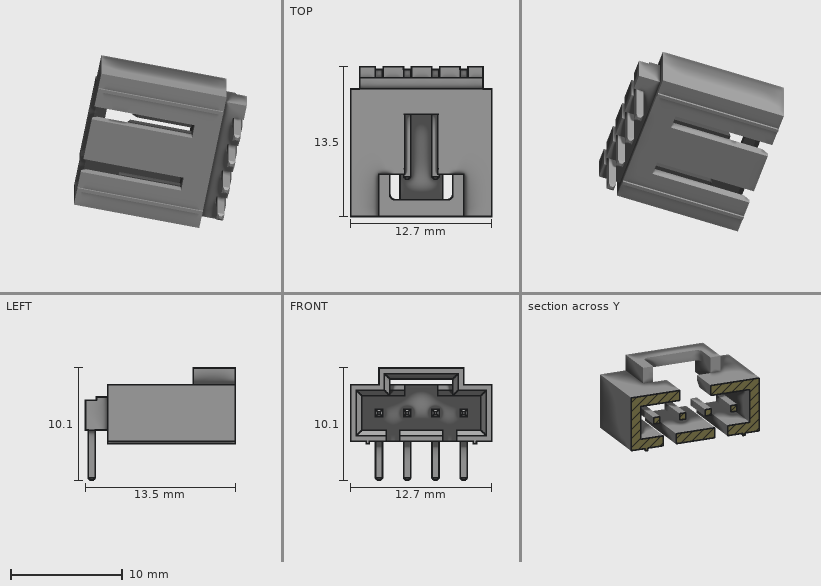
import cadquery as cq
import math


body_width = 12.71
body_depth = 11.5
body_height = 5.1
wall = 1.0
mouth_chamfer = 0.5
cavity_depth = 9.2

bridge_width = 7.65
bridge_rise = 1.5
bridge_depth = 3.8
bridge_bar_depth = 1.52
bridge_top = body_height + bridge_rise
window_width = bridge_width - 2 * wall
window_radius = 0.5
roof_slot_width = 3.0

floor_slot_width = 1.24
floor_slot_offset = 2.55
rib_width = 0.3
rib_height = 0.22
rib_offset = 4.82

block_width = 11.1
block_depth = 2.0
block_bottom = 1.0
block_top = 4.0
step_depth = 1.0
step_drop = 0.3
groove_width = 0.7
groove_shift = 0.025
block_back = body_depth + block_depth
groove_range = (block_back - step_depth, block_back)

pin_count = 4
pin_pitch = 2.54
pin_positions = [(i - (pin_count - 1) / 2) * pin_pitch for i in range(pin_count)]
pin_size = 0.65
pin_tip_chamfer = 0.2
pin_axis_z = body_height / 2
pin_front = 3.38
pin_bottom = -3.5
pin_back_inset = 0.25
pin_back = block_back - pin_back_inset
bend_outer_radius = 0.8
bend_inner_radius = bend_outer_radius - pin_size


def box(x_center, width, y_range, z_range):
    """Box centred on x_center that spans the given Y and Z ranges."""
    y_low, y_high = y_range
    z_low, z_high = z_range
    return (
        cq.Workplane("XY")
        .box(width, y_high - y_low, z_high - z_low, centered=(True, False, False))
        .translate((x_center, y_low, z_low))
    )


def mouth_prism(width, z_range, front, back):
    """Rectangular recess from front to back whose front edges are chamfered outward."""
    z_low, z_high = z_range
    z_middle = (z_low + z_high) / 2
    height = z_high - z_low
    bore = box(0, width, (front, back), z_range)
    flare = (
        cq.Workplane("XZ", origin=(0, front, z_middle))
        .rect(width + 2 * mouth_chamfer, height + 2 * mouth_chamfer)
        .workplane(offset=-mouth_chamfer)
        .rect(width, height)
        .loft(combine=True)
    )
    return bore.union(flare)


def make_housing():
    shell = box(0, body_width, (0, body_depth), (0, body_height))
    shell = shell.union(box(0, bridge_width, (0, bridge_depth), (0, bridge_top)))
    shell = shell.cut(
        mouth_prism(body_width - 2 * wall, (wall, body_height - wall), 0, cavity_depth)
    )
    return shell.cut(mouth_prism(window_width, (wall, bridge_top - wall), 0, bridge_depth))


def make_roof_lip_chamfer():
    """Wedge that chamfers the lower front edge of the roof behind the bridge."""
    roof_underside = body_height - wall
    return (
        cq.Workplane("YZ", origin=(-window_width / 2, 0, 0))
        .moveTo(bridge_depth, roof_underside)
        .lineTo(bridge_depth + mouth_chamfer, roof_underside)
        .lineTo(bridge_depth, roof_underside + mouth_chamfer)
        .close()
        .extrude(window_width)
    )


def make_bridge_window():
    """Opening through the bridge top, rounded at its front corners."""
    window = box(0, window_width, (bridge_bar_depth, bridge_depth), (body_height - wall, bridge_top))
    return window.edges("|Z and <Y").fillet(window_radius)


def make_rear_block():
    block = box(0, block_width, (body_depth, block_back), (block_bottom, block_top))
    block = block.cut(box(0, block_width, groove_range, (block_top - step_drop, block_top)))
    for x in pin_positions:
        block = block.cut(box(x + groove_shift, groove_width, groove_range, (block_bottom, block_top)))
    return block


def make_pin(x):
    """Square pin bent down through 90 degrees, with both tips chamfered."""
    half = pin_size / 2
    bend_y = pin_back - bend_outer_radius
    bend_z = pin_axis_z + half - bend_outer_radius
    corner = math.sin(math.pi / 4)
    pin = (
        cq.Workplane("YZ", origin=(x - half, 0, 0))
        .moveTo(pin_front, pin_axis_z - half)
        .lineTo(pin_front, pin_axis_z + half)
        .lineTo(bend_y, pin_axis_z + half)
        .threePointArc(
            (bend_y + bend_outer_radius * corner, bend_z + bend_outer_radius * corner),
            (pin_back, bend_z),
        )
        .lineTo(pin_back, pin_bottom)
        .lineTo(pin_back - pin_size, pin_bottom)
        .lineTo(pin_back - pin_size, bend_z)
        .threePointArc(
            (bend_y + bend_inner_radius * corner, bend_z + bend_inner_radius * corner),
            (bend_y, pin_axis_z - half),
        )
        .close()
        .extrude(pin_size)
    )
    return pin.faces("<Y").chamfer(pin_tip_chamfer).faces("<Z").chamfer(pin_tip_chamfer)


def make_roof_slot():
    """Slot through the roof from the bridge to the cavity's back wall."""
    return box(0, roof_slot_width, (bridge_depth, cavity_depth), (body_height - wall, body_height))


def make_floor_slot(x):
    return box(x, floor_slot_width, (0, cavity_depth), (0, wall))


def make_standoff_rib(x):
    return box(x, rib_width, (0, body_depth), (-rib_height, 0))


result = make_housing().cut(make_roof_lip_chamfer())
result = result.cut(make_bridge_window()).cut(make_roof_slot())
for side in (-1, 1):
    result = result.cut(make_floor_slot(side * floor_slot_offset))
    result = result.union(make_standoff_rib(side * rib_offset))

result = result.union(make_rear_block())
for x in pin_positions:
    result = result.union(make_pin(x))